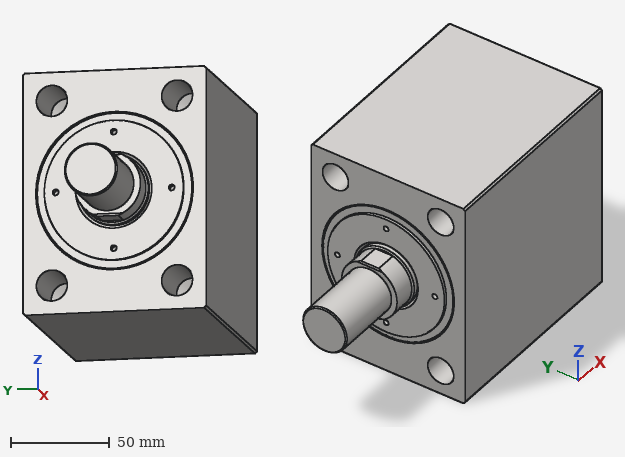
import cadquery as cq


total_length = 178.0
rod_reach = 56.6
housing_length = total_length - rod_reach
housing_width = 95.0
housing_height = 125.0
housing_chamfer = 1.0
bore_chamfer = 0.7

mount_hole_diameter = 16.0
mount_hole_depth = 35.6
mount_hole_cone = 4.6
mount_spacing_y = 65.0
mount_spacing_z = 95.4

gland_diameter = 80.3
gland_depth = 35.6
disc_diameter = 72.1
disc_reach = 1.8
seat_chamfer = 1.6

spanner_hole_diameter = 3.0
spanner_hole_depth = 3.5
spanner_hole_cone = 0.9
spanner_circle_radius = 30.0

wiper_diameter = 36.3
wiper_shoulder_reach = 2.8
wiper_lip_reach = 3.5
wiper_seat_depth = 5.3

rod_diameter = 34.2
collar_reach = 16.5
journal_diameter = 27.2
journal_chamfer = 0.7
flat_spacing = 32.4
flat_edge_length = 0.5
flat_edge_drop = 1.0


def turned(profile):
    """Solid of revolution about X from (x, radius) points."""
    return cq.Workplane("XY").polyline(profile).close().revolve(360, (0, 0, 0), (1, 0, 0))


def drill(start_x, diameter, depth, cone_depth):
    """Cutter on the X axis: a round hole towards +X with a pointed bottom."""
    radius = diameter / 2
    end_x = start_x + depth
    return turned([(start_x, 0), (start_x, radius), (end_x, radius), (end_x + cone_depth, 0)])


def make_housing():
    block = (
        cq.Workplane("YZ")
        .rect(housing_width, housing_height)
        .extrude(housing_length)
        .edges("|X")
        .chamfer(housing_chamfer)
    )
    bore_radius = gland_diameter / 2
    gland_bore = turned([
        (0, 0),
        (0, bore_radius + bore_chamfer),
        (bore_chamfer, bore_radius),
        (gland_depth, bore_radius),
        (gland_depth, 0),
    ])
    block = block.cut(gland_bore)
    mount_drill = drill(0, mount_hole_diameter, mount_hole_depth, mount_hole_cone)
    for side_y in (-1, 1):
        for side_z in (-1, 1):
            place = (0, side_y * mount_spacing_y / 2, side_z * mount_spacing_z / 2)
            block = block.cut(mount_drill.translate(place))
    return block


def make_gland():
    rod_radius = rod_diameter / 2
    seat_radius = wiper_diameter / 2
    seat_floor = wiper_seat_depth - disc_reach
    gland = turned([
        (gland_depth, rod_radius),
        (gland_depth, gland_diameter / 2),
        (0, gland_diameter / 2),
        (0, disc_diameter / 2),
        (-disc_reach, disc_diameter / 2),
        (-disc_reach, seat_radius + seat_chamfer),
        (-disc_reach + seat_chamfer, seat_radius),
        (seat_floor, seat_radius),
        (seat_floor, rod_radius),
    ])
    spanner_drill = drill(-disc_reach, spanner_hole_diameter, spanner_hole_depth, spanner_hole_cone)
    spanner_drill = spanner_drill.translate((0, spanner_circle_radius, 0))
    for angle in (0, 90, 180, 270):
        gland = gland.cut(spanner_drill.rotate((0, 0, 0), (1, 0, 0), angle))
    return gland


def make_wiper():
    rod_radius = rod_diameter / 2
    wiper_radius = wiper_diameter / 2
    seat_floor = wiper_seat_depth - disc_reach
    return turned([
        (seat_floor, rod_radius),
        (seat_floor, wiper_radius),
        (-wiper_shoulder_reach, wiper_radius),
        (-wiper_lip_reach, rod_radius),
    ])


def make_rod():
    journal_radius = journal_diameter / 2
    rod = turned([
        (gland_depth, 0),
        (gland_depth, rod_diameter / 2),
        (-collar_reach, rod_diameter / 2),
        (-collar_reach, journal_radius),
        (-rod_reach + journal_chamfer, journal_radius),
        (-rod_reach, journal_radius - journal_chamfer),
        (-rod_reach, 0),
    ])
    flat_z = flat_spacing / 2
    flat_cutter = (
        cq.Workplane("XZ")
        .polyline([
            (-wiper_lip_reach, rod_diameter),
            (-wiper_lip_reach, flat_z),
            (-collar_reach + flat_edge_length, flat_z),
            (-collar_reach, flat_z - flat_edge_drop),
            (-collar_reach, rod_diameter),
        ])
        .close()
        .extrude(rod_diameter / 2, both=True)
    )
    return rod.cut(flat_cutter).cut(flat_cutter.mirror("XY"))


housing = make_housing()
gland = make_gland()
wiper = make_wiper()
rod = make_rod()

result = cq.Compound.makeCompound([housing.val(), gland.val(), wiper.val(), rod.val()])